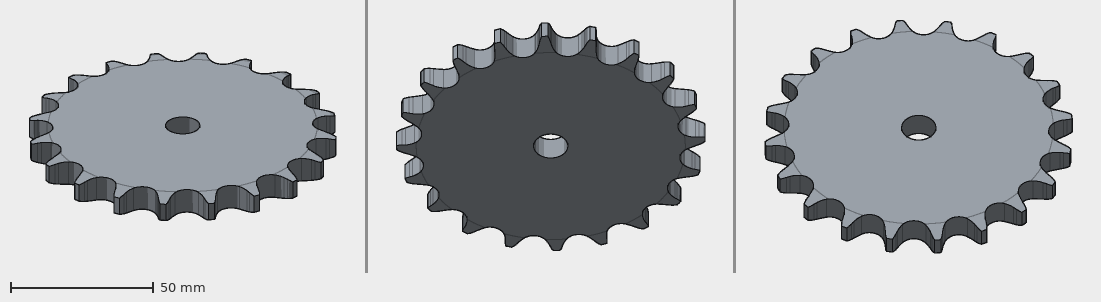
import cadquery as cq
import math

TEETH = 20
THICKNESS = 9.1
BORE_DIAMETER = 12.0
OVERALL_SIZE = 107.4
CHAIN_PITCH = 15.9
ROLLER_DIAMETER = 10.2

RELIEF_START_RADIUS = 47.2
RELIEF_DEPTH = 1.3

PITCH_ANGLE = 360 / TEETH
PITCH_RADIUS = CHAIN_PITCH / (2 * math.sin(math.radians(PITCH_ANGLE / 2)))
SEAT_RADIUS = 0.505 * ROLLER_DIAMETER
SEAT_END_ANGLE = 35 + 60 / TEETH
WORKING_ARC_ANGLE = 18 - 56 / TEETH
FLANK_ANGLE = SEAT_END_ANGLE - WORKING_ARC_ANGLE
WORKING_ARC_OFFSET = 0.8 * ROLLER_DIAMETER
WORKING_RADIUS = SEAT_RADIUS + WORKING_ARC_OFFSET
FLANK_CENTER_DISTANCE = 1.4 * ROLLER_DIAMETER

CUT_MARGIN = 1.1


def polar(center, radius, angle):
    """Point at a distance and an angle in degrees from a center."""
    return (
        center[0] + radius * math.cos(math.radians(angle)),
        center[1] + radius * math.sin(math.radians(angle)),
    )


def mirrored(point):
    """Point reflected across the middle line of a tooth gap."""
    return (-point[0], point[1])


seat_center = (0, PITCH_RADIUS)
seat_bottom = polar(seat_center, SEAT_RADIUS, -90)
seat_end = polar(seat_center, SEAT_RADIUS, -SEAT_END_ANGLE)

working_center = polar(seat_center, WORKING_ARC_OFFSET, 180 - SEAT_END_ANGLE)
working_middle = polar(working_center, WORKING_RADIUS, -SEAT_END_ANGLE + WORKING_ARC_ANGLE / 2)
working_end = polar(working_center, WORKING_RADIUS, -FLANK_ANGLE)

flank_center = polar(seat_center, FLANK_CENTER_DISTANCE, -PITCH_ANGLE / 2)
straight_direction = math.radians(90 - FLANK_ANGLE)
straight_length = (
    (flank_center[0] - working_end[0]) * math.cos(straight_direction)
    + (flank_center[1] - working_end[1]) * math.sin(straight_direction)
)
flank_start = polar(working_end, straight_length, 90 - FLANK_ANGLE)
flank_radius = math.dist(flank_start, flank_center)


def flank_angle_at(height):
    """Angle on the upper flank arc where it reaches a height along the gap."""
    return 180 - math.degrees(math.asin((height - flank_center[1]) / flank_radius))


tip_corner = polar(flank_center, flank_radius, flank_angle_at(OVERALL_SIZE / 2))
tip_radius = math.hypot(*tip_corner)


def tooth_gap():
    """Cutter for one tooth gap, reaching past the tooth tips."""
    flank_end_angle = flank_angle_at(tip_radius + CUT_MARGIN)
    flank_middle = polar(flank_center, flank_radius, (180 - FLANK_ANGLE + flank_end_angle) / 2)
    flank_end = polar(flank_center, flank_radius, flank_end_angle)

    return (
        cq.Workplane("XY")
        .moveTo(*flank_end)
        .threePointArc(flank_middle, flank_start)
        .lineTo(*working_end)
        .threePointArc(working_middle, seat_end)
        .threePointArc(seat_bottom, mirrored(seat_end))
        .threePointArc(mirrored(working_middle), mirrored(working_end))
        .lineTo(*mirrored(flank_start))
        .threePointArc(mirrored(flank_middle), mirrored(flank_end))
        .close()
        .extrude(THICKNESS)
    )


def relieved_disc():
    """Disc whose rim thins toward the tips along arcs tangent to both faces."""
    rim_width = tip_radius - RELIEF_START_RADIUS
    relief_radius = (rim_width**2 + RELIEF_DEPTH**2) / (2 * RELIEF_DEPTH)
    half_sweep = math.asin(rim_width / relief_radius) / 2
    middle_radius = RELIEF_START_RADIUS + relief_radius * math.sin(half_sweep)
    middle_depth = relief_radius * (1 - math.cos(half_sweep))
    return (
        cq.Workplane("XZ")
        .lineTo(RELIEF_START_RADIUS, 0)
        .threePointArc((middle_radius, middle_depth), (tip_radius, RELIEF_DEPTH))
        .lineTo(tip_radius, THICKNESS - RELIEF_DEPTH)
        .threePointArc((middle_radius, THICKNESS - middle_depth), (RELIEF_START_RADIUS, THICKNESS))
        .lineTo(0, THICKNESS)
        .close()
        .revolve(360, (0, 0, 0), (0, 1, 0))
    )


gap = tooth_gap()
sprocket = relieved_disc()
for index in range(TEETH):
    sprocket = sprocket.cut(gap.rotate((0, 0, 0), (0, 0, 1), index * PITCH_ANGLE))

bore = cq.Workplane("XY").circle(BORE_DIAMETER / 2).extrude(THICKNESS)
result = sprocket.cut(bore)